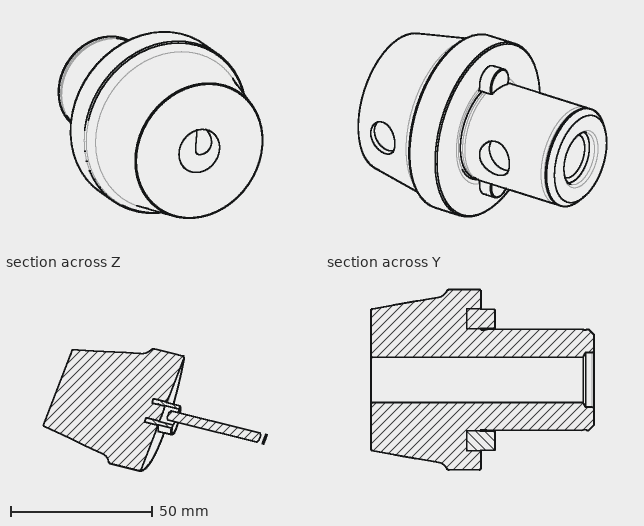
import cadquery as cq
import math

AXIS_START = (0, 0, 0)
AXIS_END = (1, 0, 0)
SHANK_LENGTH = 40.0
NOSE_X = 39.0
SHANK_X = -SHANK_LENGTH

SHANK_RADIUS = 18.0
END_CHAMFER = 2.0
END_LAND = 0.5
RELIEF_DEPTH = 0.3
RELIEF_TAPER = 1.2
END_RELIEF_FLAT = 0.3
RELIEF_ROUND = 0.6
ROOT_RELIEF_LENGTH = 2.4
RELIEF_RADIUS = SHANK_RADIUS - RELIEF_DEPTH

FLANGE_RADIUS = 32.0
FLANGE_CHAMFER = 0.5
FACE_RELIEF_RADIUS = 19.8
FACE_RELIEF_DEPTH = 0.25
RIM_ROUND = 0.8

NOSE_RADIUS = 25.1
NOSE_CHAMFER = 0.3
CONE_ANGLE = math.radians(10.0)
CONE_START_X = 15.1
CONE_FILLET = 4.0

BORE_RADIUS = 8.0
COUNTERBORE_RADIUS = 9.6
COUNTERBORE_DEPTH = 3.0
COUNTERBORE_CONE_ANGLE = math.radians(60.0)
MOUTH_ROUND = 0.9

SEAT_X = -15.4
SEAT_RADIUS = 6.5
SEAT_DEPTH = 6.0

SCREW_X = 26.5
SCREW_RADIUS = 6.0
SCREW_TOP_Y = 24.0

PIN_RADIUS = 5.5
PIN_OFFSET = 19.5
PIN_PROTRUSION = 5.0
PIN_SEAT_DEPTH = 5.0
PIN_LENGTH = PIN_PROTRUSION + PIN_SEAT_DEPTH
PIN_CHAMFER = 0.3
PIN_SHANK_CLEARANCE = 0.2


def cone_radius(x):
    """Radius of the nose cone at position x along the axis."""
    return NOSE_RADIUS + (NOSE_X - x) * math.tan(CONE_ANGLE)


def arc_point(center, radius, angle):
    """Point on a circle in the X-radius plane, the angle counted from +X."""
    return (center[0] + radius * math.cos(angle), center[1] + radius * math.sin(angle))


fillet_center = arc_point(
    (CONE_START_X, cone_radius(CONE_START_X)), CONE_FILLET, math.pi / 2 - CONE_ANGLE
)
rim_center_radius = FLANGE_RADIUS - RIM_ROUND
center_rise = fillet_center[1] - rim_center_radius
FLANGE_END_X = fillet_center[0] - math.sqrt((RIM_ROUND + CONE_FILLET) ** 2 - center_rise**2)
rim_center = (FLANGE_END_X, rim_center_radius)
rim_angle = math.atan2(center_rise, fillet_center[0] - rim_center[0])


def make_shank_and_flange():
    land_end_x = SHANK_X + END_CHAMFER + END_LAND
    round_width = math.sqrt(RELIEF_DEPTH * (2 * RELIEF_ROUND - RELIEF_DEPTH))
    relief_x = land_end_x + round_width
    taper_x = relief_x + END_RELIEF_FLAT
    return (
        cq.Workplane("XZ")
        .moveTo(SHANK_X, 0)
        .lineTo(SHANK_X, SHANK_RADIUS - END_CHAMFER)
        .lineTo(SHANK_X + END_CHAMFER, SHANK_RADIUS)
        .lineTo(land_end_x, SHANK_RADIUS)
        .radiusArc((relief_x, RELIEF_RADIUS), -RELIEF_ROUND)
        .lineTo(taper_x, RELIEF_RADIUS)
        .lineTo(taper_x + RELIEF_TAPER, SHANK_RADIUS)
        .lineTo(-ROOT_RELIEF_LENGTH, SHANK_RADIUS)
        .lineTo(-ROOT_RELIEF_LENGTH + RELIEF_TAPER, RELIEF_RADIUS)
        .lineTo(FACE_RELIEF_DEPTH - RELIEF_ROUND, RELIEF_RADIUS)
        .radiusArc((FACE_RELIEF_DEPTH, RELIEF_RADIUS + RELIEF_ROUND), -RELIEF_ROUND)
        .lineTo(0, FACE_RELIEF_RADIUS)
        .lineTo(0, FLANGE_RADIUS - FLANGE_CHAMFER)
        .lineTo(FLANGE_CHAMFER, FLANGE_RADIUS)
        .lineTo(FLANGE_END_X, FLANGE_RADIUS)
        .lineTo(FLANGE_END_X, 0)
        .close()
        .revolve(360, AXIS_START, AXIS_END)
    )


def make_nose():
    fillet_start = rim_angle + math.pi
    fillet_end = 3 * math.pi / 2 - CONE_ANGLE
    chamfer_x = NOSE_X - NOSE_CHAMFER
    nose = (
        cq.Workplane("XZ")
        .moveTo(FLANGE_END_X, 0)
        .lineTo(FLANGE_END_X, FLANGE_RADIUS)
        .threePointArc(
            arc_point(rim_center, RIM_ROUND, (math.pi / 2 + rim_angle) / 2),
            arc_point(rim_center, RIM_ROUND, rim_angle),
        )
        .threePointArc(
            arc_point(fillet_center, CONE_FILLET, (fillet_start + fillet_end) / 2),
            (CONE_START_X, cone_radius(CONE_START_X)),
        )
        .lineTo(chamfer_x, cone_radius(chamfer_x))
        .lineTo(NOSE_X, NOSE_RADIUS - NOSE_CHAMFER)
        .lineTo(NOSE_X, 0)
        .close()
        .revolve(360, AXIS_START, AXIS_END)
    )
    return nose.rotate(AXIS_START, AXIS_END, 90)


def make_bore():
    counterbore_end_x = SHANK_X + COUNTERBORE_DEPTH
    step = (COUNTERBORE_RADIUS - BORE_RADIUS) / math.tan(COUNTERBORE_CONE_ANGLE)
    return (
        cq.Workplane("XZ")
        .moveTo(SHANK_X, 0)
        .lineTo(SHANK_X, COUNTERBORE_RADIUS + MOUTH_ROUND)
        .radiusArc((SHANK_X + MOUTH_ROUND, COUNTERBORE_RADIUS), -MOUTH_ROUND)
        .lineTo(counterbore_end_x, COUNTERBORE_RADIUS)
        .lineTo(counterbore_end_x + step, BORE_RADIUS)
        .lineTo(NOSE_X, BORE_RADIUS)
        .lineTo(NOSE_X, 0)
        .close()
        .revolve(360, AXIS_START, AXIS_END)
    )


def radial_cylinder(x, radius, bottom_y, top_y):
    """Cylinder that points along +Y, from bottom_y to top_y."""
    return cq.Workplane("XZ", origin=(x, bottom_y, 0)).circle(radius).extrude(bottom_y - top_y)


def make_pin(side):
    """Drive pin above (side = 1) or below (side = -1) the shank, hollowed to clear it."""
    pin = (
        cq.Workplane("YZ", origin=(-PIN_PROTRUSION, 0, side * PIN_OFFSET))
        .circle(PIN_RADIUS)
        .extrude(PIN_LENGTH)
        .faces("<X")
        .chamfer(PIN_CHAMFER)
    )
    shank_clearance = (
        cq.Workplane("YZ", origin=(-PIN_PROTRUSION, 0, 0))
        .circle(SHANK_RADIUS + PIN_SHANK_CLEARANCE)
        .extrude(PIN_LENGTH)
    )
    return pin.cut(shank_clearance)


def make_screw():
    screw = radial_cylinder(SCREW_X, SCREW_RADIUS, 0, SCREW_TOP_Y)
    return screw.cut(make_bore())


def make_body(pins):
    body = make_shank_and_flange().union(make_nose()).cut(make_bore())
    seat = radial_cylinder(SEAT_X, SEAT_RADIUS, SHANK_RADIUS - SEAT_DEPTH, SHANK_RADIUS)
    screw_hole = radial_cylinder(SCREW_X, SCREW_RADIUS, 0, FLANGE_RADIUS)
    body = body.cut(seat).cut(screw_hole)
    for pin in pins:
        body = body.cut(pin)
    return body


pins = [make_pin(side) for side in (1, -1)]
screw = make_screw()
body = make_body(pins)
result = cq.Compound.makeCompound([body.val(), screw.val(), *[pin.val() for pin in pins]])